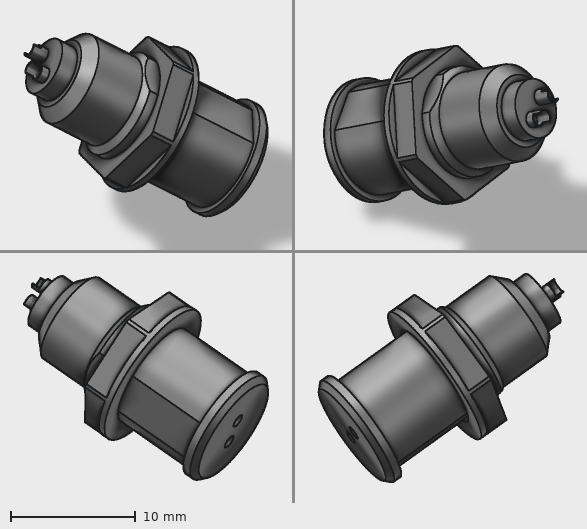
import cadquery as cq
import math

flange_radius = 5.0
flange_edge_length = 0.7
rear_bevel = 0.5
flange_thickness = flange_edge_length + rear_bevel

washer_bottom = 7.07
washer_thickness = 0.55
nut_bottom = washer_bottom + washer_thickness
nut_top = 9.65
thread_top = 11.0
barrel_top = 16.42
insert_top = 17.92

thread_radius = 4.5
thread_flats_width = 8.2
barrel_radius = 3.95
barrel_bevel = 1.01
insert_radius = 2.41

nut_flats_width = 10.99
washer_radius = 6.25

contact_spacing = 2.2
contact_radius = 0.65
contact_bore_radius = 0.56
contact_length = 1.47
cup_opening_length = 0.74
contact_tip = insert_top + contact_length

roll_angle = 11.7
tip_elevation = 36.9
tip_heading = 221.2


def cylinder(radius, bottom, top):
    return cq.Workplane("XY").workplane(offset=bottom).circle(radius).extrude(top - bottom)


def make_flange():
    """Disc with a bevelled rear rim."""
    disc = cylinder(flange_radius, -flange_thickness, 0)
    return disc.faces("<Z").chamfer(rear_bevel)


def make_threaded_sleeve():
    """Sleeve bevelled down to the barrel at its front end, with two opposite flats along its length."""
    sleeve = cylinder(thread_radius, 0, thread_top).faces(">Z").chamfer(thread_radius - barrel_radius)
    between_flats = cq.Workplane("XY").rect(thread_flats_width, 2 * thread_radius).extrude(thread_top)
    return sleeve.intersect(between_flats)


def make_barrel():
    """Bevelled barrel with the slimmer contact insert standing out of its front end."""
    barrel = cylinder(barrel_radius, 0, barrel_top).faces(">Z").chamfer(barrel_bevel)
    return barrel.union(cylinder(insert_radius, 0, insert_top))


def make_nut():
    """Nut and washer with a round bore, which leaves a gap at each flat of the sleeve."""
    corner_diameter = nut_flats_width / math.cos(math.radians(30))
    hexagon = (
        cq.Workplane("XY")
        .workplane(offset=nut_bottom)
        .polygon(6, corner_diameter)
        .extrude(nut_top - nut_bottom)
    )
    rounded_hexagon = hexagon.intersect(cylinder(washer_radius, nut_bottom, nut_top))
    washer = cylinder(washer_radius, washer_bottom, nut_bottom)
    return rounded_hexagon.union(washer).cut(cylinder(thread_radius, washer_bottom, nut_top))


def add_contact(connector, side):
    """Add a tube bored through the whole connector, with a solder cup open away from the axis."""
    center_y = side * contact_spacing / 2
    tube = cylinder(contact_radius, insert_top, contact_tip).translate((0, center_y, 0))
    bore = cylinder(contact_bore_radius, -flange_thickness, contact_tip).translate((0, center_y, 0))
    cup_opening = (
        cq.Workplane("XY")
        .workplane(offset=contact_tip - cup_opening_length)
        .center(0, center_y + side * contact_radius)
        .rect(2 * contact_radius, 2 * contact_radius)
        .extrude(cup_opening_length)
    )
    return connector.union(tube).cut(bore).cut(cup_opening)


connector = make_flange().union(make_threaded_sleeve()).union(make_barrel()).union(make_nut())
for side in (-1, 1):
    connector = add_contact(connector, side)

result = (
    connector.rotate((0, 0, 0), (0, 0, 1), roll_angle)
    .rotate((0, 0, 0), (0, 1, 0), 90 - tip_elevation)
    .rotate((0, 0, 0), (0, 0, 1), tip_heading)
)